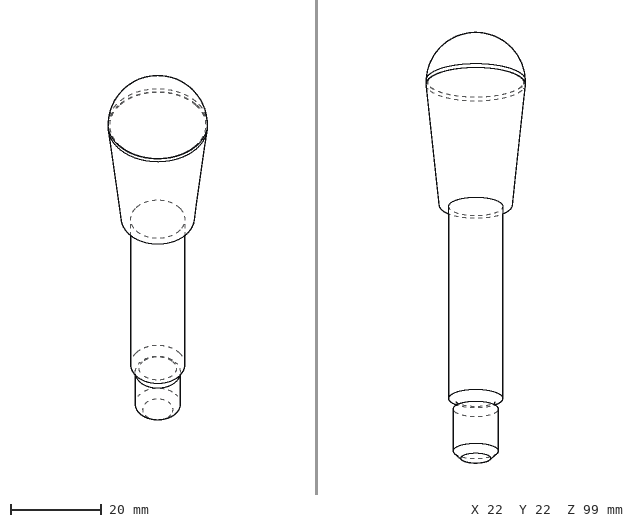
import cadquery as cq
import math

axis_start = (0, 0, 0)
axis_end = (0, 1, 0)

total_height = 99.0
knob_radius = 11.0

thread_radius = 10.0 / 2
tip_radius = 6.6 / 2
tip_chamfer = thread_radius - tip_radius

neck_radius = 8.3 / 2
neck_length = 0.1
undercut_round = 1.2
shoulder_z = 14.0
round_center_x = neck_radius + undercut_round
upper_center_z = shoulder_z - undercut_round
lower_center_z = upper_center_z - neck_length
undercut_bottom_z = lower_center_z - math.sqrt(undercut_round**2 - (round_center_x - thread_radius) ** 2)

shaft_radius = 12.0 / 2

knob_bottom_z = 58.9
grip_bottom_radius = 8.1
rim_round = 0.5
groove_bottom_z = 87.5
groove_top_z = 88.4
groove_depth = 0.4
dome_center_z = total_height - knob_radius


def dome_radius_at(z):
    """Radius of the dome sphere at height z."""
    return math.sqrt(knob_radius**2 - (z - dome_center_z) ** 2)


def circle_point(center_x, center_z, radius, angle):
    """Point on a circle at an angle in degrees."""
    turn = math.radians(angle)
    return (center_x + radius * math.cos(turn), center_z + radius * math.sin(turn))


def make_pin():
    """Shaft with its undercut and chamfered threaded end."""
    profile = (
        cq.Workplane("XZ")
        .lineTo(tip_radius, 0)
        .lineTo(thread_radius, tip_chamfer)
        .lineTo(thread_radius, undercut_bottom_z)
        .threePointArc(
            circle_point(round_center_x, lower_center_z, undercut_round, 210),
            (neck_radius, lower_center_z),
        )
        .lineTo(neck_radius, upper_center_z)
        .threePointArc(
            circle_point(round_center_x, upper_center_z, undercut_round, 135),
            (round_center_x, shoulder_z),
        )
        .lineTo(shaft_radius, shoulder_z)
        .lineTo(shaft_radius, knob_bottom_z)
        .lineTo(0, knob_bottom_z)
        .close()
    )
    return profile.revolve(360, axis_start, axis_end)


def make_knob():
    """Tapered grip and domed top with a groove between them."""
    rim_center_x = grip_bottom_radius - rim_round
    rim_center_z = knob_bottom_z + rim_round
    dome_mid = circle_point(0, dome_center_z, knob_radius, 45)
    profile = (
        cq.Workplane("XZ")
        .moveTo(0, knob_bottom_z)
        .lineTo(rim_center_x, knob_bottom_z)
        .threePointArc(
            circle_point(rim_center_x, rim_center_z, rim_round, -45),
            (grip_bottom_radius, rim_center_z),
        )
        .lineTo(dome_radius_at(groove_bottom_z), groove_bottom_z)
        .threePointArc(
            (knob_radius - groove_depth, (groove_bottom_z + groove_top_z) / 2),
            (dome_radius_at(groove_top_z), groove_top_z),
        )
        .threePointArc(dome_mid, (0, total_height))
        .close()
    )
    return profile.revolve(360, axis_start, axis_end)


result = make_pin().union(make_knob())